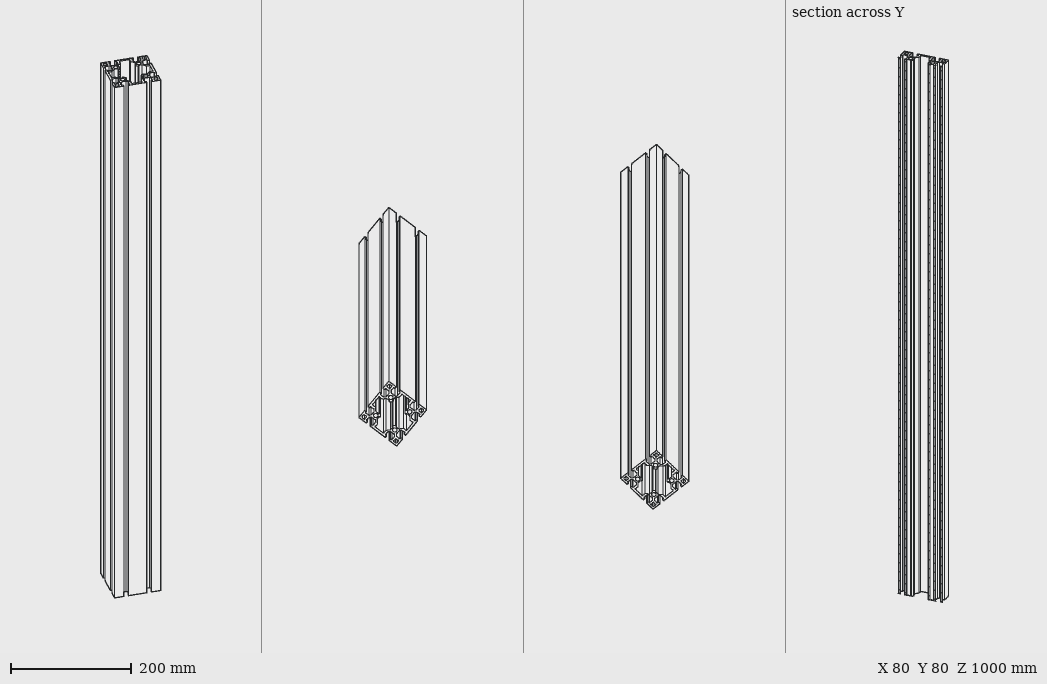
import cadquery as cq

side = 80.0
length = 1000.0
half_side = side / 2

slot_offset = 20.0
slot_opening = 8.1
slot_width = 13.5
slot_floor_width = slot_opening
slot_depth = 13.5
lip_thickness = 3.6
slot_taper = (slot_width - slot_floor_width) / 2
cut_margin = 1.0

bore_diameter = 7.2

cavity_wall = 4.1
arm_tip_half_width = 8.8
arm_half_width = 14.4
arm_tip_straight = 6.1

core_face = 12.9
core_edge = 18.0
core_bevel = 3.1

chamber_wall = 3.3
chamber_size = 6.0
chamber_bevel = 1.5


def prism(points):
    return cq.Workplane("XY").polyline(points).close().extrude(length)


def slot_cutter(offset):
    """T-slot in the +Y side, centred on X = offset."""
    lip_inside = half_side - lip_thickness
    floor = half_side - slot_depth
    right_half = [
        (slot_opening / 2, half_side + cut_margin),
        (slot_opening / 2, lip_inside),
        (slot_width / 2, lip_inside),
        (slot_width / 2, floor + slot_taper),
        (slot_floor_width / 2, floor),
    ]
    left_half = [(-x, y) for x, y in reversed(right_half)]
    return prism([(offset + x, y) for x, y in right_half + left_half])


def cavity_cutter():
    """Cavity built from one eighth of its outline, mirrored about the diagonal and both axes."""
    tip = half_side - cavity_wall
    shoulder = tip - arm_tip_straight
    eighth = [
        (arm_tip_half_width, tip),
        (arm_tip_half_width, shoulder),
        (arm_half_width, shoulder - (arm_half_width - arm_tip_half_width)),
        (arm_half_width, core_edge),
        (core_face, core_edge),
        (core_face, core_face + core_bevel),
    ]
    quarter = eighth + [(y, x) for x, y in reversed(eighth)]
    right_half = quarter + [(x, -y) for x, y in reversed(quarter)]
    left_half = [(-x, y) for x, y in reversed(right_half)]
    return prism(right_half + left_half)


def chamber_cutter():
    """Hollow in the +X +Y corner."""
    outer = half_side - chamber_wall
    inner = outer - chamber_size
    return prism(
        [
            (inner, inner),
            (outer, inner),
            (outer, outer - chamber_bevel),
            (outer - chamber_bevel, outer),
            (inner, outer),
        ]
    )


def bore_cutter():
    """Bore in the +X +Y quadrant."""
    return cq.Workplane("XY").center(slot_offset, slot_offset).circle(bore_diameter / 2).extrude(length)


body = cq.Workplane("XY").rect(side, side).extrude(length)
body = body.cut(cavity_cutter())

quarter_cutters = [
    slot_cutter(-slot_offset),
    slot_cutter(slot_offset),
    bore_cutter(),
    chamber_cutter(),
]
for turn in (0, 90, 180, 270):
    for cutter in quarter_cutters:
        body = body.cut(cutter.rotate((0, 0, 0), (0, 0, 1), turn))

result = body